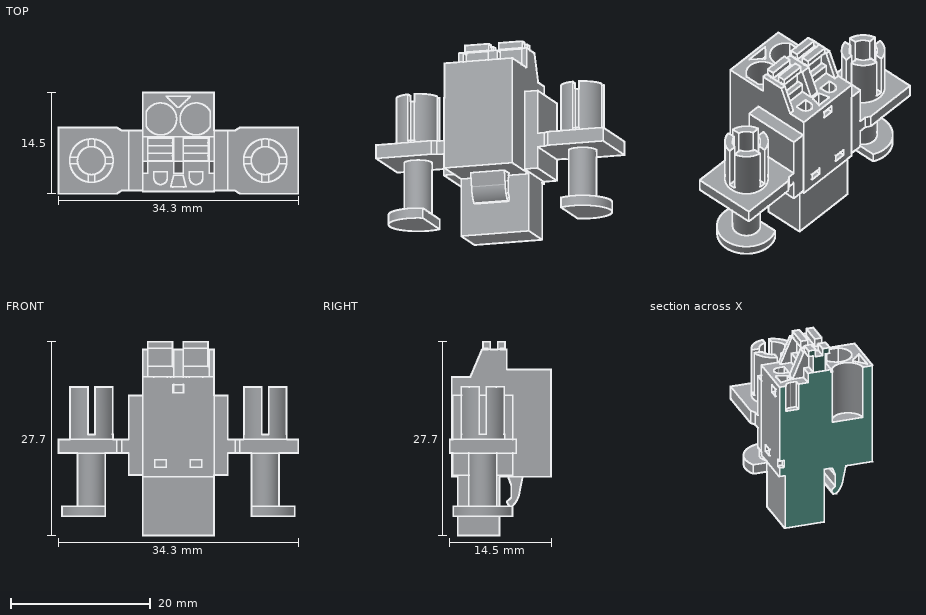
import cadquery as cq


pole_pitch = 5.08
pole_centers = (-pole_pitch / 2, pole_pitch / 2)
body_width = 10.24
body_front = -4.45
body_back = 9.75
total_height = 27.73
plug_bottom = -8.38
lever_top = plug_bottom + total_height

front_top = 14.32
back_top = 15.37
ridge_top = 18.25
ridge_back = 3.42
ridge_front = -0.12
slope_foot = -1.8

channel_width = 3.73
channel_floor = 15.8

plug_front = -3.62
plug_back = 2.4

hook_width = pole_pitch
hook_root_back = 5.7
hook_root_front = 3.6
hook_root_bottom = -1.2
hook_inner_face = 4.05
hook_bottom = -4.15
hook_tip_back = 4.25
hook_tip_front = 3.73
hook_nose_top = -2.93
hook_nose = (3.4, -3.53)
hook_bend_start = (5.3, -1.95)
hook_bend_middle = (4.9, -3.3)

ear_half_length = 7.09
ear_half_depth = 4.3
ear_bottom = 0.28
ear_top = 11.65
flange_length = 34.31
flange_half_depth = 4.75
flange_bottom = 3.4
flange_top = 5.38
neck_end = 8.1
shoulder_start = 8.8

pin_spacing = 24.84
sleeve_radius = 3.1
sleeve_top = 12.88
sleeve_slot_width = 0.96
sleeve_slot_floor = 6.08

pin_radius = 2.0
foot_radius = 4.24
foot_top = -4.17
foot_bottom = -5.63

entry_radius = 2.29
entry_y = 5.95
entry_flat = 4.56
entry_depth = 8.0

marker_half_width = 1.72
marker_back = 9.17
marker_tip = 7.63
marker_tip_half_width = 0.15
marker_depth = 2.0

test_half_width = 0.95
test_back = -1.57
test_front = -3.43
test_depth = 4.0

pocket_back = -2.1
pocket_front = -3.74
pocket_back_half_width = 0.67
pocket_front_half_width = 1.1
pocket_depth = 4.0
window_half_width = 0.8
window_bottom = 12.05
window_top = 13.2

contact_half_width = 0.84
contact_bottom = 1.42
contact_top = 2.45
contact_depth = 0.7

lever_width = 3.58
lever_head_front = 0.0
lever_head_back = 3.2
lever_head_bottom = 18.37
lever_stem_front = 0.68
lever_stem_back = 2.55
lever_notch_front = 1.08
lever_notch_back = 2.12
lever_notch_floor = ridge_top


def box(x_min, x_max, y_min, y_max, z_min, z_max):
    """Axis-aligned block between the given limits."""
    return cq.Workplane("XY").box(
        x_max - x_min, y_max - y_min, z_max - z_min, centered=False
    ).translate((x_min, y_min, z_min))


def side_profile(points, width):
    """Closed (Y, Z) outline extruded symmetrically about X = 0."""
    return cq.Workplane("YZ").polyline(points).close().extrude(width / 2, both=True)


def cylinder(radius, x, y, z_min, z_max):
    return cq.Workplane("XY", origin=(x, y, z_min)).circle(radius).extrude(z_max - z_min)


def housing_block():
    return side_profile(
        [
            (body_front, 0),
            (body_back, 0),
            (body_back, back_top),
            (ridge_back, back_top),
            (ridge_back, ridge_top),
            (ridge_front, ridge_top),
            (slope_foot, front_top),
            (body_front, front_top),
        ],
        body_width,
    )


def lever_channel(x):
    """Channel through the ridge, stepping down to the front top face ahead of the lever."""
    left = x - channel_width / 2
    right = x + channel_width / 2
    upper = box(left, right, ridge_front, ridge_back, channel_floor, ridge_top)
    lower = box(left, right, slope_foot, ridge_front, front_top, ridge_top)
    return upper.union(lower)


def plug():
    half_width = body_width / 2
    return box(-half_width, half_width, plug_front, plug_back, plug_bottom, 0)


def latch_hook():
    """Curved hook hanging from the housing bottom."""
    return (
        cq.Workplane("YZ")
        .moveTo(hook_root_back, 0)
        .lineTo(*hook_bend_start)
        .threePointArc(hook_bend_middle, (hook_tip_back, hook_bottom))
        .lineTo(hook_tip_front, hook_bottom)
        .lineTo(*hook_nose)
        .lineTo(hook_inner_face, hook_nose_top)
        .lineTo(hook_inner_face, hook_root_bottom)
        .lineTo(hook_root_front, 0)
        .close()
        .extrude(hook_width / 2, both=True)
    )


def ear_blocks():
    return box(-ear_half_length, ear_half_length, -ear_half_depth, ear_half_depth, ear_bottom, ear_top)


def flange_plate():
    """Plate through the ears, widening past a sloped shoulder on each side."""
    end = flange_length / 2
    quarter = [
        (neck_end, ear_half_depth),
        (shoulder_start, flange_half_depth),
        (end, flange_half_depth),
    ]
    right_side = quarter + [(x, -y) for x, y in reversed(quarter)]
    left_side = [(-x, -y) for x, y in right_side]
    return (
        cq.Workplane("XY", origin=(0, 0, flange_bottom))
        .polyline(right_side + left_side)
        .close()
        .extrude(flange_top - flange_bottom)
    )


def sleeve(x):
    """Upright sleeve split by two crossing slots."""
    tube = cylinder(sleeve_radius, x, 0, flange_top, sleeve_top)
    reach = sleeve_radius + sleeve_slot_width
    half_slot = sleeve_slot_width / 2
    slot_along_x = box(x - reach, x + reach, -half_slot, half_slot, sleeve_slot_floor, sleeve_top)
    slot_along_y = box(x - half_slot, x + half_slot, -reach, reach, sleeve_slot_floor, sleeve_top)
    return tube.cut(slot_along_x).cut(slot_along_y)


def conductor_entry(x):
    """Round blind hole, flattened next to the housing side wall."""
    hole = cylinder(entry_radius, x, entry_y, back_top - entry_depth, back_top)
    limit = box(-entry_flat, entry_flat, ridge_back, body_back, back_top - entry_depth, back_top)
    return hole.intersect(limit)


def marker_triangle():
    return (
        cq.Workplane("XY", origin=(0, 0, back_top - marker_depth))
        .moveTo(-marker_half_width, marker_back)
        .lineTo(marker_half_width, marker_back)
        .lineTo(marker_tip_half_width, marker_tip)
        .lineTo(-marker_tip_half_width, marker_tip)
        .close()
        .extrude(marker_depth)
    )


def test_opening(x):
    """Opening with a square back and a round front."""
    arc_start = test_front + test_half_width
    return (
        cq.Workplane("XY", origin=(x, 0, front_top - test_depth))
        .moveTo(-test_half_width, test_back)
        .lineTo(test_half_width, test_back)
        .lineTo(test_half_width, arc_start)
        .threePointArc((0, test_front), (-test_half_width, arc_start))
        .close()
        .extrude(test_depth)
    )


def coding_pocket():
    return (
        cq.Workplane("XY", origin=(0, 0, front_top - pocket_depth))
        .moveTo(-pocket_back_half_width, pocket_back)
        .lineTo(pocket_back_half_width, pocket_back)
        .lineTo(pocket_front_half_width, pocket_front)
        .lineTo(-pocket_front_half_width, pocket_front)
        .close()
        .extrude(pocket_depth)
    )


def coding_window():
    return box(
        -window_half_width, window_half_width, body_front, pocket_front, window_bottom, window_top
    )


def contact_window(x):
    return box(
        x - contact_half_width,
        x + contact_half_width,
        body_front,
        body_front + contact_depth,
        contact_bottom,
        contact_top,
    )


def make_housing():
    housing = housing_block().union(plug()).union(latch_hook()).union(ear_blocks()).union(flange_plate())
    for x in pole_centers:
        housing = housing.cut(lever_channel(x)).cut(conductor_entry(x))
        housing = housing.cut(test_opening(x)).cut(contact_window(x))
    housing = housing.cut(marker_triangle()).cut(coding_pocket()).cut(coding_window())
    for x in (-pin_spacing / 2, pin_spacing / 2):
        housing = housing.union(sleeve(x))
        housing = housing.cut(cylinder(pin_radius, x, 0, flange_bottom, sleeve_top))
    return housing


def make_lever(x):
    """Push lever standing on the channel floor against the channel's left wall."""
    left = x - channel_width / 2
    right = left + lever_width
    stem = box(left, right, lever_stem_front, lever_stem_back, channel_floor, lever_top)
    head = box(left, right, lever_head_front, lever_head_back, lever_head_bottom, lever_top)
    notch = box(left, right, lever_notch_front, lever_notch_back, lever_notch_floor, lever_top)
    return stem.union(head).cut(notch)


def make_pin(side):
    """Pin filling the flange hole; its round foot is cut flat on the housing side."""
    x = side * pin_spacing / 2
    shaft = cylinder(pin_radius, x, 0, foot_top, flange_top)
    foot = cylinder(foot_radius, x, 0, foot_bottom, foot_top)
    flat = x - side * pin_radius
    outer = x + side * foot_radius
    kept = box(min(flat, outer), max(flat, outer), -foot_radius, foot_radius, foot_bottom, foot_top)
    return shaft.union(foot.intersect(kept))


housing = make_housing()
levers = [make_lever(x) for x in pole_centers]
pins = [make_pin(side) for side in (-1, 1)]

result = cq.Compound.makeCompound(
    [housing.val()] + [lever.val() for lever in levers] + [pin.val() for pin in pins]
)